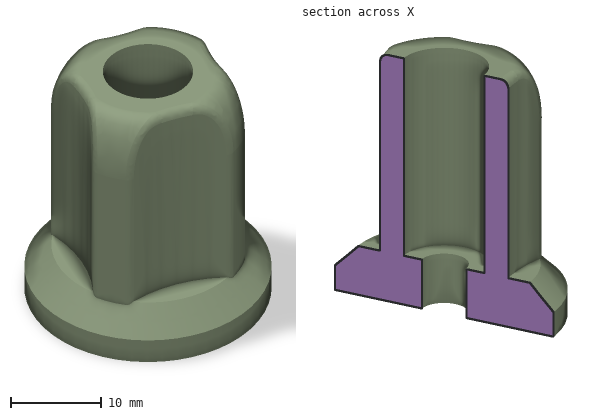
import cadquery as cq
import math

total_height = 30.0
flange_diameter = 27.4
flange_rim_height = 3.0
flange_height = 6.0

grip_radius = 11.0
shoulder_height = 7.0
flat_top_radius = 7.5
flute_count = 4
flute_radius = 16.0
flute_floor_distance = 8.0
flute_turn = 2.5
edge_radius = 1.0
match_tolerance = 0.003

bore_diameter = 10.0
through_hole_diameter = 5.5

flange_radius = flange_diameter / 2
cone_top_radius = flange_radius - (flange_height - flange_rim_height)
bore_depth = total_height - flange_height
flute_axis_distance = flute_floor_distance + flute_radius
shoulder_start = total_height - shoulder_height
shoulder_width = grip_radius - flat_top_radius


def make_flange():
    """Round flange with a 45 degree conical upper side."""
    return (
        cq.Workplane("XZ")
        .polyline([
            (0, 0),
            (flange_radius, 0),
            (flange_radius, flange_rim_height),
            (cone_top_radius, flange_height),
            (0, flange_height),
        ])
        .close()
        .revolve(360, (0, 0), (0, 1))
    )


def make_grip_blank():
    """Cylinder whose top rolls over along a quarter ellipse."""
    return (
        cq.Workplane("XZ")
        .lineTo(grip_radius, 0)
        .lineTo(grip_radius, shoulder_start)
        .ellipseArc(shoulder_width, shoulder_height, 0, 90, startAtCurrent=True)
        .lineTo(0, total_height)
        .close()
        .revolve(360, (0, 0), (0, 1))
    )


def make_flutes():
    """Upright cylinders that hollow the sides of the grip."""
    return (
        cq.Workplane("XY")
        .polarArray(flute_axis_distance, flute_turn, 360, flute_count)
        .circle(flute_radius)
        .extrude(total_height, combine=False)
        .vals()
    )


def flute_edges(grip):
    """Edges where the flutes meet the outer skin, without the bottom face."""
    edges = []
    for edge in grip.edges().vals():
        point = edge.positionAt(0.5)
        if point.z < edge_radius:
            continue
        for index in range(flute_count):
            angle = math.radians(flute_turn + index * 360 / flute_count)
            center = cq.Vector(flute_axis_distance * math.cos(angle), flute_axis_distance * math.sin(angle))
            reach = math.hypot(point.x - center.x, point.y - center.y)
            if abs(reach - flute_radius) < match_tolerance:
                edges.append(edge)
    return edges


def make_grip():
    grip = make_grip_blank()
    for flute in make_flutes():
        grip = grip.cut(cq.Workplane(flute))
    return grip.newObject(flute_edges(grip)).fillet(edge_radius)


body = make_flange().union(make_grip())
result = (
    body.faces(">Z").workplane(origin=(0, 0, total_height))
    .cboreHole(through_hole_diameter, bore_diameter, bore_depth)
)